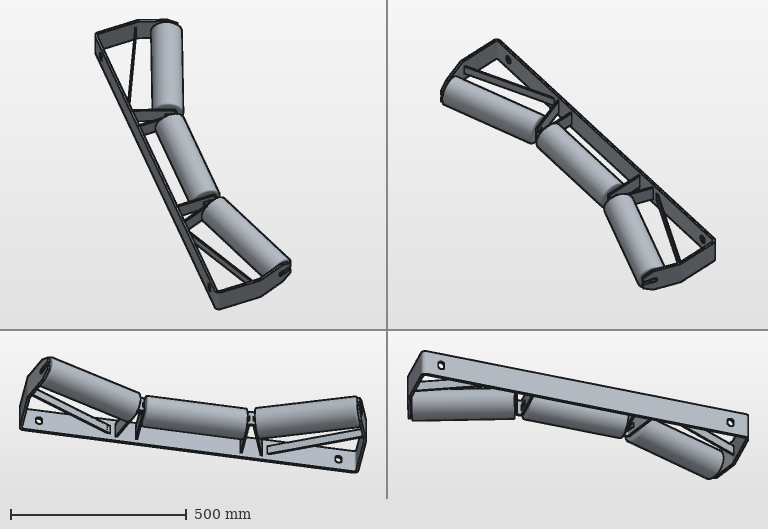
import cadquery as cq
import math


frame_length = 980.0
frame_width = 80.0
frame_thickness = 7.0
corner_outer_radius = 13.0
corner_inner_radius = corner_outer_radius - frame_thickness
trough_angle = 20.0
arm_bend_y = 135.0
arm_bend_outer_radius = 17.0
arm_bend_inner_radius = arm_bend_outer_radius - frame_thickness
arm_length = 113.0
arm_chamfer_length = 30.0
arm_chamfer_depth = 18.0
mount_slot_spacing = 866.0
mount_slot_width = 19.0
mount_slot_length = 26.0

roller_diameter = 89.0
roller_length = 292.0
roller_edge_radius = 5.0
roller_end_gap = 3.0
shaft_diameter = 20.0
shaft_flat_width = 14.0
center_roller_y = 99.0
wing_axis_above_bend = 80.0

bracket_thickness = 5.0
bracket_width = 50.0
bracket_top_y = 126.0
fold_outer_radius = 9.0
fold_inner_radius = fold_outer_radius - bracket_thickness

brace_thickness = 4.0
brace_width = 30.0
brace_wall_y = 127.0
brace_foot_x = 227.0

half_length = frame_length / 2
tilt = math.radians(trough_angle)
tan_tilt = math.tan(tilt)
support_distance = roller_length / 2 + roller_end_gap
shaft_half_length = support_distance + bracket_thickness
arm_reach = support_distance + frame_thickness
clearance = 10.0

wing_x = -half_length + arm_reach * math.cos(tilt) + wing_axis_above_bend * math.sin(tilt)
wing_y = arm_bend_y - arm_reach * math.sin(tilt) + wing_axis_above_bend * math.cos(tilt)

center_location = cq.Location(cq.Vector(0, center_roller_y, 0))
wing_location = cq.Location(cq.Vector(wing_x, wing_y, 0), cq.Vector(0, 0, 1), -trough_angle)


def place(part, location):
    return cq.Workplane(part.val().moved(location))


def mirrored(part):
    return part.mirror("YZ")


def prism(points, width):
    """Closed XY outline extruded symmetrically about Z = 0."""
    return cq.Workplane("XY", origin=(0, 0, -width / 2)).polyline(points).close().extrude(width)


def rod(diameter, length):
    """Cylinder along X, centred on the origin."""
    return cq.Workplane("YZ", origin=(-length / 2, 0, 0)).circle(diameter / 2).extrude(length)


def fillet_corners(part, corners, radius):
    """Round the Z-parallel edges that pass through the given XY corners."""
    for x, y in corners:
        part = part.edges(cq.selectors.NearestToPointSelector((x, y, 0))).fillet(radius)
    return part



def make_shaft(length):
    """Round shaft with two flats facing +Z and -Z."""
    flats = cq.Workplane("XY").box(length, shaft_diameter, shaft_flat_width)
    return rod(shaft_diameter, length).intersect(flats)


def make_roller():
    shell = rod(roller_diameter, roller_length).faces("<X or >X").edges().fillet(roller_edge_radius)
    return shell.union(make_shaft(2 * shaft_half_length))


def shaft_slot(reach):
    """Cutter for open-topped slots that fit the shaft, out to the given distance from the roller centre."""
    top = roller_diameter
    opening = cq.Workplane("XY").box(2 * reach, top, shaft_flat_width).translate((0, top / 2, 0))
    return make_shaft(2 * reach).union(opening)



def trough_block(inset, corner_radius, bend_radius, length):
    """Solid trough whose outline lies the given inset inside the outer face of the strip."""
    wall_x = half_length - inset
    bend_y = arm_bend_y - inset * math.tan(tilt / 2)
    tip_x = wall_x - length * math.sin(tilt)
    tip_y = bend_y + length * math.cos(tilt)
    right = [(wall_x, inset), (wall_x, bend_y), (tip_x, tip_y)]
    left = [(-x, y) for x, y in reversed(right)]
    block = prism(right + left, frame_width)
    block = fillet_corners(block, [(wall_x, inset), (-wall_x, inset)], corner_radius)
    return fillet_corners(block, [(wall_x, bend_y), (-wall_x, bend_y)], bend_radius)


def arm_tip_trim():
    """Waste around the chamfered end of the left arm, in the wing roller's local axes."""
    tip_y = arm_length - wing_axis_above_bend
    shoulder_y = tip_y - arm_chamfer_length
    top_y = tip_y + 2 * clearance
    half_width = frame_width / 2
    tip_half_width = half_width - arm_chamfer_depth
    outer_z = half_width + clearance
    outline = [
        (shoulder_y, half_width),
        (tip_y, tip_half_width),
        (tip_y, -tip_half_width),
        (shoulder_y, -half_width),
        (shoulder_y, -outer_z),
        (top_y, -outer_z),
        (top_y, outer_z),
        (shoulder_y, outer_z),
    ]
    waste = cq.Workplane("YZ", origin=(-arm_reach - clearance, 0, 0)).polyline(outline).close()
    return waste.extrude(frame_thickness + clearance + roller_end_gap)


def make_frame():
    untrimmed_length = arm_length + clearance
    frame = trough_block(0, corner_outer_radius, arm_bend_outer_radius, untrimmed_length)
    frame = frame.cut(
        trough_block(frame_thickness, corner_inner_radius, arm_bend_inner_radius, untrimmed_length + clearance)
    )
    for cutter in (arm_tip_trim(), shaft_slot(arm_reach + clearance)):
        left_cutter = place(cutter, wing_location)
        frame = frame.cut(left_cutter).cut(mirrored(left_cutter))
    mount_slots = (
        cq.Workplane("XZ")
        .pushPoints([(-mount_slot_spacing / 2, 0), (mount_slot_spacing / 2, 0)])
        .slot2D(mount_slot_length, mount_slot_width, 90)
        .extrude(-frame_thickness)
    )
    return frame.cut(mount_slots)



def bracket_block(inset, foot_y, radius):
    """Solid wedge whose outline lies the given inset inside the outer faces of the left bracket."""
    upright_x = -support_distance - inset
    top_y = bracket_top_y - inset
    reach = support_distance + inset
    axis_x = wing_x + reach * math.cos(tilt)
    axis_y = wing_y - reach * math.sin(tilt)
    foot_x = axis_x + (foot_y - axis_y) * tan_tilt
    top_x = axis_x + (top_y - axis_y) * tan_tilt
    top_corners = [(upright_x, top_y), (top_x, top_y)]
    block = prism([(upright_x, foot_y)] + top_corners + [(foot_x, foot_y)], bracket_width)
    return fillet_corners(block, top_corners, radius)


def make_bracket():
    bracket = bracket_block(0, frame_thickness, fold_outer_radius)
    bracket = bracket.cut(bracket_block(bracket_thickness, frame_thickness, fold_inner_radius))
    slot = shaft_slot(shaft_half_length)
    return bracket.cut(place(slot, center_location)).cut(place(slot, wing_location))



def make_brace():
    """Left flat bar, cut flush against the wall at its top and the base at its foot."""
    wall_x = -half_length + frame_thickness
    slope = math.atan2(brace_wall_y - frame_thickness, -brace_foot_x - wall_x)
    drop = brace_thickness / math.cos(slope)
    setback = brace_thickness / math.sin(slope)
    return prism(
        [
            (wall_x, brace_wall_y),
            (-brace_foot_x, frame_thickness),
            (-brace_foot_x - setback, frame_thickness),
            (wall_x, brace_wall_y - drop),
        ],
        brace_width,
    )


frame = make_frame()

left_wing_roller = place(make_roller(), wing_location)
rollers = [place(make_roller(), center_location), left_wing_roller, mirrored(left_wing_roller)]

brackets = []
braces = []
for side in (lambda part: part, mirrored):
    brackets.append(side(make_bracket()))
    braces.append(side(make_brace()))

result = cq.Compound.makeCompound([frame.val()] + [body.val() for body in rollers + brackets + braces])